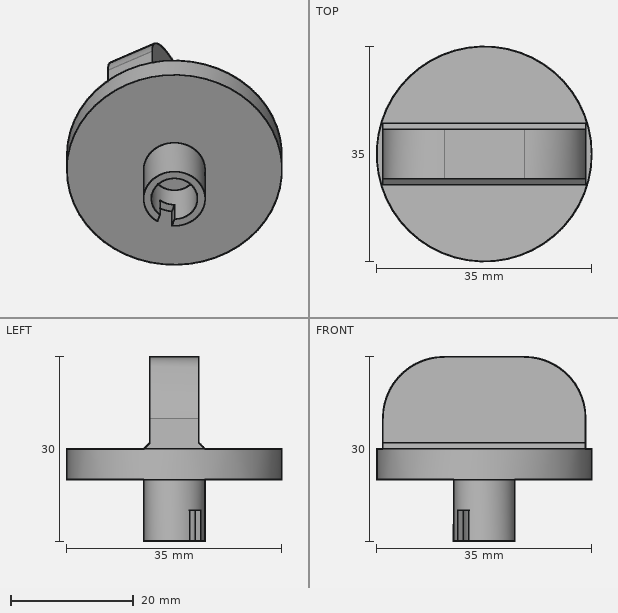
import cadquery as cq

disc_diameter = 35.0
disc_thickness = 5.0

grip_length = disc_diameter - 2.0
grip_thickness = 8.0
grip_height = 15.0
grip_corner_radius = 10.0
grip_flare = 1.0

shaft_diameter = 10.0
shaft_length = 10.0
bore_diameter = 7.5
bore_depth = shaft_length
slot_width = 2.5
slot_height = shaft_length / 2
slot_angle = 225.0


def make_disc():
    return cq.Workplane("XY").circle(disc_diameter / 2).extrude(disc_thickness)


def make_grip():
    """Bar with two rounded top corners and a flared foot along each long side."""
    bar = (
        cq.Workplane("XY")
        .workplane(offset=disc_thickness)
        .rect(grip_length, grip_thickness)
        .extrude(grip_height)
        .edges("|Y and >Z")
        .fillet(grip_corner_radius)
    )
    half_top = grip_thickness / 2
    half_foot = half_top + grip_flare
    flare_top = disc_thickness + grip_flare
    foot = (
        cq.Workplane("YZ")
        .moveTo(-half_foot, disc_thickness)
        .lineTo(half_foot, disc_thickness)
        .lineTo(half_top, flare_top)
        .lineTo(-half_top, flare_top)
        .close()
        .extrude(grip_length / 2, both=True)
    )
    return bar.union(foot)


def make_shaft():
    """Tube with a slot running up from its open lower end."""
    shaft_bottom = cq.Workplane("XY").workplane(offset=-shaft_length)
    body = shaft_bottom.circle(shaft_diameter / 2).extrude(shaft_length)
    bore = shaft_bottom.circle(bore_diameter / 2).extrude(bore_depth)
    slot = (
        shaft_bottom
        .rect(shaft_diameter, slot_width)
        .extrude(slot_height)
        .translate((shaft_diameter / 2, 0, 0))
        .rotate((0, 0, 0), (0, 0, 1), slot_angle)
    )
    return body.cut(bore).cut(slot)


result = make_disc().union(make_grip()).union(make_shaft())